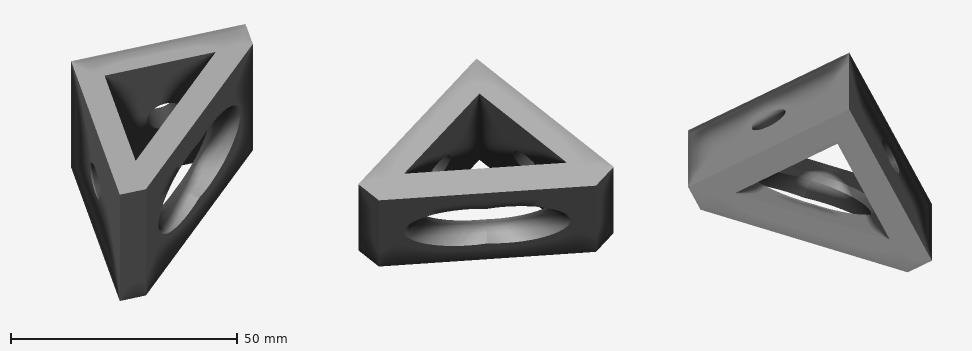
import cadquery as cq
import math

side = 40.0
height = 36.5
wall = 6.0
bolt_diameter = 8.4
access_diameter = 20.0

outer_slope_sum = side + wall
inner_slope_sum = outer_slope_sum - wall * math.sqrt(2)
pocket_end = inner_slope_sum - wall


def prism(points):
    """Full-height prism standing on the XY plane."""
    return cq.Workplane("XY").polyline(points).close().extrude(height)


def cylinder(diameter, start, direction):
    """Cylinder of length `side` from a start point along a direction."""
    return cq.Workplane(cq.Solid.makeCylinder(
        diameter / 2, side, cq.Vector(*start), cq.Vector(*direction)))


body = prism([(0, 0), (side, 0), (side, wall), (wall, side), (0, side)])
pocket = prism([(wall, wall), (pocket_end, wall), (wall, pocket_end)])
bracket = body.cut(pocket)

middle = side / 2
mid_height = height / 2
along_x = (1, 0, 0)
along_y = (0, 1, 0)
cuts = [
    (bolt_diameter, (0, middle, mid_height), along_x),
    (access_diameter, (wall, middle, mid_height), along_x),
    (bolt_diameter, (middle, 0, mid_height), along_y),
    (access_diameter, (middle, wall, mid_height), along_y),
]
for diameter, start, direction in cuts:
    bracket = bracket.cut(cylinder(diameter, start, direction))

result = bracket